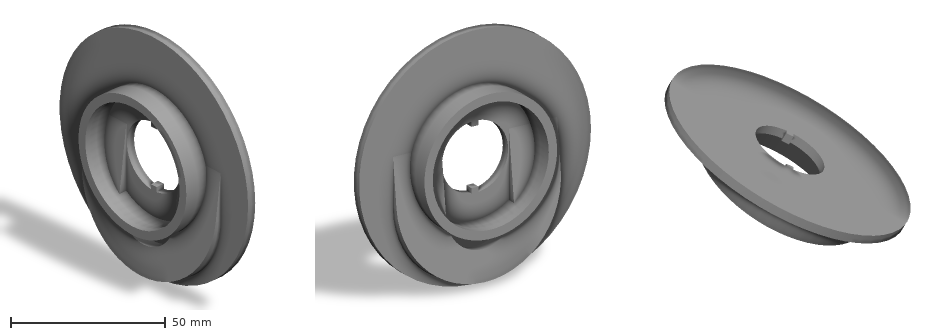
import cadquery as cq
import math

disc_diameter = 88.9
disc_thickness = 3.2
bore_diameter = 25.3

ring_outer_diameter = 50.85
ring_inner_diameter = 44.45
total_depth = 12.7

wedge_angle = 7.0
wedge_top_z = 6.9
wedge_half_width = 31.5
wedge_straight_length = 17.7
slot_half_width = 13.0
slot_straight_length = 25.1

key_width = 2.7
key_tip_radius = 10.8
key_root_overlap = 0.9


def disc(diameter, depth):
    """Cylinder from the back face toward -Y."""
    return cq.Workplane("XZ").circle(diameter / 2).extrude(depth)


def u_prism(plane, half_width, straight_length, depth):
    """Prism with a straight top and round bottom, extruded into the disc."""
    return (
        cq.Workplane(plane)
        .moveTo(-half_width, 0)
        .lineTo(-half_width, -straight_length)
        .threePointArc((0, -straight_length - half_width), (half_width, -straight_length))
        .lineTo(half_width, 0)
        .close()
        .extrude(-depth)
    )


def make_wedge():
    """U-shaped wedge whose side walls stand square to its sloping face."""
    slope = math.radians(wedge_angle)
    sloping_plane = cq.Plane(
        origin=(0, -disc_thickness, wedge_top_z),
        xDir=(1, 0, 0),
        normal=(0, -math.cos(slope), math.sin(slope)),
    )
    outer = u_prism(sloping_plane, wedge_half_width, wedge_straight_length, total_depth)
    slot = u_prism(sloping_plane, slot_half_width, slot_straight_length, total_depth)
    in_front_of_disc = (
        cq.Workplane("XZ", origin=(0, -disc_thickness, 0))
        .rect(disc_diameter, disc_diameter)
        .extrude(total_depth)
    )
    return outer.cut(slot).intersect(in_front_of_disc)


def make_key(side):
    """Rectangular key at the top (side = 1) or bottom (side = -1) of the bore."""
    root_radius = bore_diameter / 2 + key_root_overlap
    key_height = root_radius - key_tip_radius
    return (
        cq.Workplane("XZ")
        .center(0, side * (key_tip_radius + key_height / 2))
        .rect(key_width, key_height)
        .extrude(disc_thickness)
    )


ring = disc(ring_outer_diameter, total_depth).cut(disc(ring_inner_diameter, total_depth))
flange = disc(disc_diameter, disc_thickness).cut(disc(bore_diameter, disc_thickness))

result = flange.union(ring).union(make_wedge())
for side in (1, -1):
    result = result.union(make_key(side))